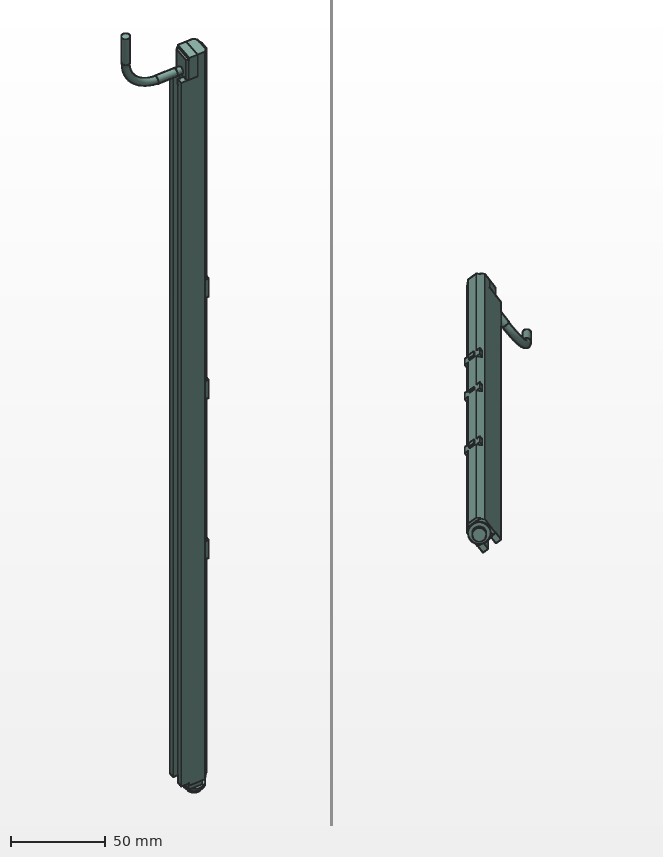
import cadquery as cq

RAIL_WIDTH = 12.0
RAIL_DEPTH = 17.5
BACK_CHAMFER = 3.2
SLOT_WIDTH = 5.0
SLOT_DEPTH = 4.0
RAIL_BOTTOM = 11.0
RAIL_TOP = 528.4
FRONT_Y = 0.0
BACK_Y = FRONT_Y + RAIL_DEPTH
SLOT_FLOOR_Y = FRONT_Y + SLOT_DEPTH

STEP_Y = 10.0
STEP_Z = 514.3

LIP_HEIGHT = 1.5
LIP_INSET = 1.5
LIP_BACK_Y = BACK_Y - LIP_INSET
LIP_CHAMFER = BACK_CHAMFER - LIP_INSET

RIDGE_HEIGHT = 1.5
RIDGE_LENGTH = 3.5
RIDGE_Z = 507.5

PAD_RISE = 0.95
PAD_WIDTH = 3.4
SADDLE_WIDTH = 10.0
SADDLE_LENGTH = 13.0
LONG_PAD_LENGTH = 8.0
SHORT_PAD_LENGTH = 1.5
LOWER_PAD_Z = 172.0
MIDDLE_PAD_Z = 286.5
UPPER_PAD_Z = 359.0
PADS = [
    (LOWER_PAD_Z, LONG_PAD_LENGTH),
    (MIDDLE_PAD_Z, SHORT_PAD_LENGTH),
    (UPPER_PAD_Z, LONG_PAD_LENGTH),
]

PLUG_Y = 11.3
NECK_WIDTH = 8.5
NECK_FRONT_Y = 5.7
NECK_BACK_Y = 13.8
FLANGE_DIAMETER = RAIL_WIDTH
FLANGE_BOTTOM = 3.3
FLANGE_TOP = 4.8
FOOT_DIAMETER = 7.5

OUTLET_FRONT_Y = 3.4
OUTLET_CHAMFER = 1.2
LIP_FRONT_Y = OUTLET_FRONT_Y + LIP_INSET

TOTAL_HEIGHT = 557.2
TOTAL_DEPTH = 51.45
SLEEVE_DIAMETER = 4.8
CABLE_DIAMETER = 4.4
CABLE_Z = 517.3
BEND_RADIUS = 20.0
CABLE_END_Y = BACK_Y + PAD_RISE - TOTAL_DEPTH + SLEEVE_DIAMETER / 2
LOWER_SLEEVE_LENGTH = 11.8
UPPER_SLEEVE_LENGTH = 18.7


def block(width, y_min, y_max, z_min, z_max):
    """Block centred on X = 0, between the given Y and Z limits."""
    size_y = y_max - y_min
    size_z = z_max - z_min
    shape = cq.Workplane("XY").box(width, size_y, size_z, centered=(True, False, False))
    return shape.translate((0, y_min, z_min))


def upright_cylinder(diameter, y, z_min, z_max):
    return cq.Workplane("XY", origin=(0, y, z_min)).circle(diameter / 2).extrude(z_max - z_min)


def make_profile():
    half_width = RAIL_WIDTH / 2
    half_back = half_width - BACK_CHAMFER
    shoulder_y = BACK_Y - BACK_CHAMFER
    half_slot = SLOT_WIDTH / 2
    outline = [
        (-half_width, FRONT_Y),
        (-half_slot, FRONT_Y),
        (-half_slot, SLOT_FLOOR_Y),
        (half_slot, SLOT_FLOOR_Y),
        (half_slot, FRONT_Y),
        (half_width, FRONT_Y),
        (half_width, shoulder_y),
        (half_back, BACK_Y),
        (-half_back, BACK_Y),
        (-half_width, shoulder_y),
    ]
    profile = cq.Workplane("XY", origin=(0, 0, RAIL_BOTTOM)).polyline(outline).close()
    profile = profile.extrude(RAIL_TOP - RAIL_BOTTOM)
    return profile.cut(block(RAIL_WIDTH, FRONT_Y, STEP_Y, STEP_Z, RAIL_TOP))


def make_ridge():
    half_length = RIDGE_LENGTH / 2
    return block(
        SLOT_WIDTH, SLOT_FLOOR_Y - RIDGE_HEIGHT, SLOT_FLOOR_Y, RIDGE_Z - half_length, RIDGE_Z + half_length
    )


def make_saddle(center_z, pad_length):
    half_saddle = SADDLE_LENGTH / 2
    half_pad = pad_length / 2
    saddle_front_y = BACK_Y - BACK_CHAMFER
    saddle = block(SADDLE_WIDTH, saddle_front_y, BACK_Y, center_z - half_saddle, center_z + half_saddle)
    pad = block(PAD_WIDTH, BACK_Y, BACK_Y + PAD_RISE, center_z - half_pad, center_z + half_pad)
    return saddle.union(pad)


def make_plug():
    lip_bottom = RAIL_BOTTOM - LIP_HEIGHT
    lip = block(RAIL_WIDTH, LIP_FRONT_Y, LIP_BACK_Y, lip_bottom, RAIL_BOTTOM)
    lip = lip.edges("|Z and >Y").chamfer(LIP_CHAMFER)
    neck = block(NECK_WIDTH, NECK_FRONT_Y, NECK_BACK_Y, FLANGE_TOP, lip_bottom)
    flange = upright_cylinder(FLANGE_DIAMETER, PLUG_Y, FLANGE_BOTTOM, FLANGE_TOP)
    foot = upright_cylinder(FOOT_DIAMETER, PLUG_Y, 0, FLANGE_BOTTOM)
    return lip.union(neck).union(flange).union(foot)


def make_rail():
    rail = make_profile().union(make_ridge()).union(make_plug())
    top_lip = block(RAIL_WIDTH, STEP_Y, LIP_BACK_Y, RAIL_TOP, RAIL_TOP + LIP_HEIGHT)
    rail = rail.union(top_lip.edges("|Z and >Y").chamfer(LIP_CHAMFER))
    for center_z, pad_length in PADS:
        rail = rail.union(make_saddle(center_z, pad_length))
    return rail


def make_outlet():
    body = block(RAIL_WIDTH, OUTLET_FRONT_Y, STEP_Y, STEP_Z, RAIL_TOP)
    body = body.edges("|Z and <Y").chamfer(OUTLET_CHAMFER)
    lip = block(RAIL_WIDTH, LIP_FRONT_Y, STEP_Y, RAIL_TOP, RAIL_TOP + LIP_HEIGHT)
    return body.union(lip)


def make_bent_cable():
    path = (
        cq.Workplane("YZ")
        .moveTo(STEP_Y, CABLE_Z)
        .lineTo(CABLE_END_Y + BEND_RADIUS, CABLE_Z)
        .radiusArc((CABLE_END_Y, CABLE_Z + BEND_RADIUS), BEND_RADIUS)
        .lineTo(CABLE_END_Y, TOTAL_HEIGHT)
    )
    return cq.Workplane("XZ", origin=(0, STEP_Y, CABLE_Z)).circle(CABLE_DIAMETER / 2).sweep(path)


def make_cable():
    lower_sleeve = cq.Workplane("XZ", origin=(0, FRONT_Y, CABLE_Z)).circle(SLEEVE_DIAMETER / 2)
    lower_sleeve = lower_sleeve.extrude(LOWER_SLEEVE_LENGTH)
    upper_sleeve = upright_cylinder(
        SLEEVE_DIAMETER, CABLE_END_Y, TOTAL_HEIGHT - UPPER_SLEEVE_LENGTH, TOTAL_HEIGHT
    )
    return make_outlet().union(make_bent_cable()).union(lower_sleeve).union(upper_sleeve)


rail = make_rail()
cable = make_cable()
result = cq.Compound.makeCompound([rail.val(), cable.val()])